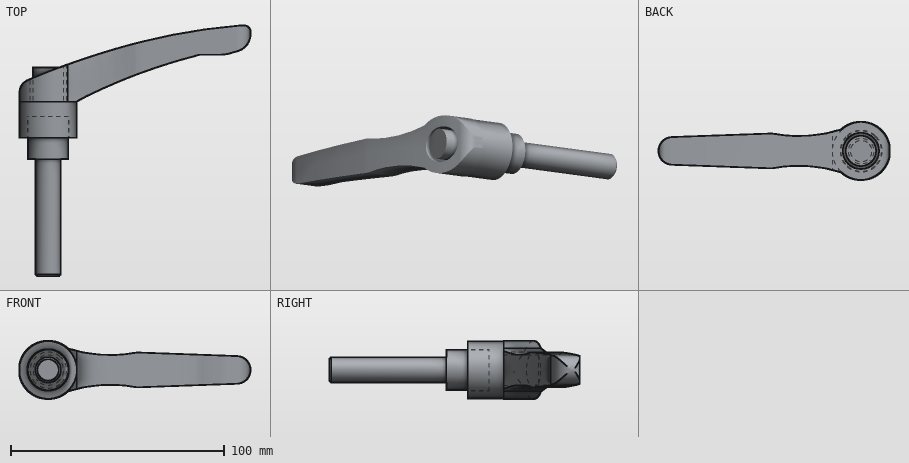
import cadquery as cq
import math


STUD_DIA = 12.0
STUD_LENGTH = 55.0
STUD_CHAMFER = 1.0
COLLAR_DIA = 19.0
COLLAR_LENGTH = 10.0
SCREW_HEAD_DIA = 14.2
SCREW_HEAD_TOP = 43.0

HUB_DIA = 27.0
HUB_LENGTH = 17.0
HUB_BOTTOM = COLLAR_LENGTH
HUB_TOP = HUB_BOTTOM + HUB_LENGTH
RIDGE_TOP = 31.5
COLLAR_BORE_DIA = 19.6
COLLAR_BORE_DEPTH = 10.0
COLLAR_BORE_TOP = HUB_BOTTOM + COLLAR_BORE_DEPTH
SCREW_BORE_DIA = 17.0

HUB_RADIUS = HUB_DIA / 2
HEAD_RADIUS = 13.73
HEAD_FLAT_HALF_WIDTH = 2.65
HEAD_FLAT_X = -math.sqrt(HEAD_RADIUS**2 - HEAD_FLAT_HALF_WIDTH**2)
NECK_X = 9.3
NECK_HALF_WIDTH = math.sqrt(HEAD_RADIUS**2 - NECK_X**2)
WAIST_X = 29.0
WAIST_HALF_WIDTH = 7.0
GRIP_START_X = 41.1
GRIP_CREST_X = 44.1
GRIP_HALF_WIDTH = 8.15
GRIP_CREST_HALF_WIDTH = 8.2
TIP_X = 95.0
TIP_START_X = 88.6
TIP_HALF_WIDTH = 6.55
TIP_MID = (93.2, 4.4)

ARM_TOP = 62.67
HEAD_CORNER_RADIUS = 6.5
HEAD_TOP_Y = 35.35
INNER_BACK_MID = (16.3, 46.9)
CREST = (41.1, 54.35)
TIP_TOP_X = 90.0
TIP_CORNER_RADIUS = 3.0
TIP_NOSE = (TIP_X, 58.6)
TIP_UNDERSIDE_MID = (93.2, 53.5)
TIP_UNDERSIDE_START = (88.6, 50.5)
TIP_BLEND_END = (85.5, 49.6)
TIP_BLEND_MID = (83.5, 49.1)
FINGER_REST_Y = 48.9
FINGER_REST_START_X = 71.6
FINGER_REST_END_X = 81.3
REST_BLEND_MID = (70.3, 48.7)
UNDERSIDE_END = (69.0, 48.3)
UNDERSIDE_MID = (43.15, 40.2)
KNEE_START = (17.35, 29.05)
KNEE_END = (17.75, 29.3)

PROFILE_HALF_DEPTH = 20.0
PLAN_MARGIN = 1.0


def cylinder(diameter, y_start, y_end):
    """Solid cylinder about the Y axis between two heights."""
    face = cq.Workplane("XZ", origin=(0, y_start, 0)).circle(diameter / 2)
    return face.extrude(y_start - y_end)


def corner_at(x, y):
    """Selector for the Z-direction edge at a corner of the side profile."""
    return cq.selectors.NearestToPointSelector((x, y, 0))


def lever_side_profile():
    """Curved arm outline in X-Y, extruded wide enough to be trimmed by the plan."""
    outline = (
        cq.Workplane("XY", origin=(0, 0, -PROFILE_HALF_DEPTH))
        .moveTo(HEAD_FLAT_X, HUB_TOP)
        .lineTo(HEAD_FLAT_X, HEAD_TOP_Y)
        .threePointArc(INNER_BACK_MID, CREST)
        .tangentArcPoint((TIP_TOP_X, ARM_TOP), relative=False)
        .lineTo(TIP_X, ARM_TOP)
        .lineTo(*TIP_NOSE)
        .threePointArc(TIP_UNDERSIDE_MID, TIP_UNDERSIDE_START)
        .lineTo(*TIP_BLEND_END)
        .threePointArc(TIP_BLEND_MID, (FINGER_REST_END_X, FINGER_REST_Y))
        .lineTo(FINGER_REST_START_X, FINGER_REST_Y)
        .threePointArc(REST_BLEND_MID, UNDERSIDE_END)
        .threePointArc(UNDERSIDE_MID, KNEE_END)
        .lineTo(*KNEE_START)
        .lineTo(HUB_RADIUS, HUB_TOP)
        .close()
    )
    arm = outline.extrude(2 * PROFILE_HALF_DEPTH)
    arm = arm.edges(corner_at(HEAD_FLAT_X, HEAD_TOP_Y)).fillet(HEAD_CORNER_RADIUS)
    return arm.edges(corner_at(TIP_X, ARM_TOP)).fillet(TIP_CORNER_RADIUS)


def lever_plan():
    """Round head, waisted neck and round-ended grip, extruded along Y."""
    crest_mid = ((GRIP_START_X + GRIP_CREST_X) / 2, GRIP_CREST_HALF_WIDTH)
    half = (
        cq.Workplane("XZ")
        .moveTo(HEAD_FLAT_X, 0)
        .lineTo(HEAD_FLAT_X, HEAD_FLAT_HALF_WIDTH)
        .threePointArc((0, HEAD_RADIUS), (NECK_X, NECK_HALF_WIDTH))
        .threePointArc((WAIST_X, WAIST_HALF_WIDTH), (GRIP_START_X, GRIP_HALF_WIDTH))
        .threePointArc(crest_mid, (GRIP_CREST_X, GRIP_HALF_WIDTH))
        .lineTo(TIP_START_X, TIP_HALF_WIDTH)
        .threePointArc(TIP_MID, (TIP_X, 0))
        .close()
        .extrude(-(ARM_TOP + PLAN_MARGIN))
    )
    return half.union(half.mirror("XY"))


def hub_ridge():
    """Half of the hub on the -X side, continued up to the top of the ridge."""
    half_space = cq.Workplane("XY").box(HUB_DIA, 2 * ARM_TOP, HUB_DIA).translate((-HUB_RADIUS, 0, 0))
    return cylinder(HUB_DIA, HUB_TOP, RIDGE_TOP).intersect(half_space)


def housing():
    """Lever and hub; the hub runs up past the head flat, where it shows as a narrow ridge."""
    lever = lever_side_profile().intersect(lever_plan())
    body = lever.union(cylinder(HUB_DIA, HUB_BOTTOM, HUB_TOP))
    body = body.union(hub_ridge())
    body = body.cut(cylinder(SCREW_BORE_DIA, HUB_TOP, ARM_TOP))
    return body.cut(cylinder(COLLAR_BORE_DIA, HUB_BOTTOM, COLLAR_BORE_TOP))


def stud():
    """Chamfered stud, collar and screw head, joined to the hub at the floors of its bores."""
    shank = cylinder(STUD_DIA, -STUD_LENGTH, 0).faces("<Y").chamfer(STUD_CHAMFER)
    collar = cylinder(COLLAR_DIA, 0, COLLAR_BORE_TOP)
    head = cylinder(SCREW_HEAD_DIA, HUB_TOP, SCREW_HEAD_TOP)
    return shank.union(collar).union(head)


result = housing().union(stud())